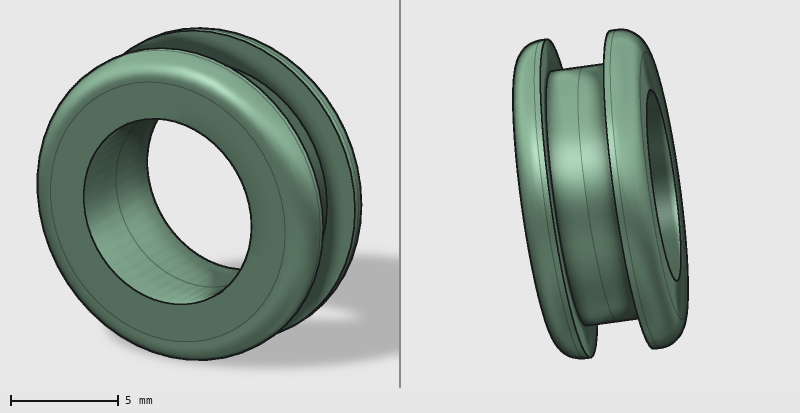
import cadquery as cq

outer_diameter = 15.0
groove_diameter = 12.0
bore_diameter = 9.0
total_width = 6.0
flange_thickness = 1.5
edge_radius = 1.2

groove_width = total_width - 2 * flange_thickness


def disc(diameter, width):
    """Solid cylinder along Y, centred on the origin."""
    return cq.Workplane("XZ").circle(diameter / 2).extrude(width / 2, both=True)


body = disc(outer_diameter, total_width).faces("<Y or >Y").edges().fillet(edge_radius)

groove = disc(outer_diameter, groove_width).cut(disc(groove_diameter, groove_width))

bore = disc(bore_diameter, total_width)

result = body.cut(groove).cut(bore)